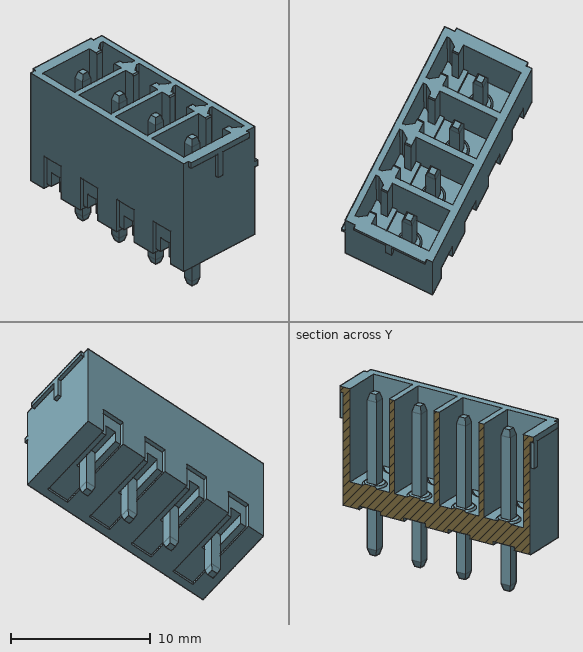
import cadquery as cq


total_length = 16.54
total_depth = 7.3
total_height = 12.8

body_length = 16.0
body_depth = 7.0
body_height = 9.3
wall = 0.6

pin_count = 4
pitch = 3.8
pin_width = 0.8
pin_y = 3.0
pin_tip_width = 0.5
pin_tip_length = 0.53
pin_recess = 0.15
pin_top_z = body_height - pin_recess
pin_bottom_z = body_height - total_height
pin_positions = [(i - (pin_count - 1) / 2) * pitch for i in range(pin_count)]

pocket_width = 3.32
pocket_back_y = 6.5
floor_z = 2.0
back_ledge_y = 4.8
back_ledge_height = 0.5
back_wall_draft = 0.058

lug_front_y = 5.18
lug_back_y = 5.7
lug_gap = 1.72
lug_chamfer = 0.1
dovetail_neck_width = 2.55
dovetail_side_y = 6.25

collar_diameter = 1.8
collar_height = 0.15
collar_taper = 45
bump_radius = 1.3
bump_size = 0.31

key_front_y = 0.48
key_back_y = 6.19
key_bar_height = 0.48
key_stem_y = 3.37
key_stem_width = 0.48
key_height = 2.5
rail_thickness = total_depth - body_depth
rail_height = 0.48
rail_drop = 3.01
rail_top_z = body_height - rail_drop

notch_width = 1.8
notch_height = 2.8
notch_depth = 0.3
slot_width = 0.88
slot_height = 1.45
slot_back_y = 3.64
channel_height = 0.26


def centred_block(width, y_range, z_range):
    """Box between limits on Y and Z, symmetric about X = 0."""
    (y0, y1), (z0, z1) = y_range, z_range
    box = cq.Workplane("XY").box(width, y1 - y0, z1 - z0, centered=(True, False, False))
    return box.translate((0, y0, z0))


def make_body():
    """Solid housing with the back rail and the T-shaped end keys."""
    body = centred_block(body_length, (0, body_depth), (0, body_height))
    rail = centred_block(
        body_length, (body_depth, body_depth + rail_thickness), (rail_top_z - rail_height, rail_top_z)
    )
    key_bar = centred_block(
        total_length, (key_front_y, key_back_y), (body_height - key_bar_height, body_height)
    )
    key_stem = centred_block(
        total_length,
        (key_stem_y - key_stem_width / 2, key_stem_y + key_stem_width / 2),
        (body_height - key_height, body_height),
    )
    return body.union(rail).union(key_bar).union(key_stem)


def make_lug_chamfers():
    """Flared cut that bevels the top edges of the two lugs facing each other."""
    half_gap = lug_gap / 2
    profile = [
        (-half_gap - lug_chamfer, body_height),
        (half_gap + lug_chamfer, body_height),
        (half_gap, body_height - lug_chamfer),
        (-half_gap, body_height - lug_chamfer),
    ]
    cut = cq.Workplane("XZ").polyline(profile).close().extrude(lug_front_y - lug_back_y)
    return cut.translate((0, lug_front_y, 0))


def make_bump():
    """Rounded bump against the front wall, with a 45 degree slope from the wall to the floor."""
    disc = (
        cq.Workplane("XY", origin=(0, wall + bump_size - bump_radius, floor_z))
        .circle(bump_radius)
        .extrude(bump_size)
    )
    slope = (
        cq.Workplane("YZ")
        .polyline([
            (wall, floor_z),
            (wall + bump_size, floor_z),
            (wall, floor_z + bump_size),
        ])
        .close()
        .extrude(bump_radius, both=True)
    )
    return disc.intersect(slope)


def make_pocket():
    """Dovetailed cavity of one way, less the features that stand up inside it."""
    half = pocket_width / 2
    half_gap = lug_gap / 2
    half_neck = dovetail_neck_width / 2
    right_side = [
        (half, wall),
        (half, lug_front_y),
        (half_gap, lug_front_y),
        (half_gap, lug_back_y),
        (half_neck, lug_back_y),
        (half, dovetail_side_y),
        (half, pocket_back_y),
    ]
    left_side = [(-x, y) for x, y in reversed(right_side)]
    pocket = (
        cq.Workplane("XY", origin=(0, 0, floor_z))
        .polyline(right_side + left_side)
        .close()
        .extrude(body_height - floor_z)
    )
    ledge = centred_block(
        pocket_width, (back_ledge_y, pocket_back_y), (floor_z, floor_z + back_ledge_height)
    )
    back_draft = (
        cq.Workplane("YZ")
        .polyline([
            (pocket_back_y, floor_z),
            (pocket_back_y - back_wall_draft, floor_z),
            (pocket_back_y, body_height),
        ])
        .close()
        .extrude(half, both=True)
    )
    collar = (
        cq.Workplane("XY", origin=(0, pin_y, floor_z))
        .circle(collar_diameter / 2)
        .extrude(collar_height, taper=collar_taper)
    )
    pocket = pocket.union(make_lug_chamfers())
    return pocket.cut(ledge).cut(back_draft).cut(collar).cut(make_bump())


def make_solder_opening():
    """Front notch, the narrower slot behind it around the pin, and a shallow channel underneath."""
    notch = centred_block(notch_width, (0, notch_depth), (0, notch_height))
    slot = centred_block(slot_width, (0, slot_back_y), (0, slot_height))
    channel = centred_block(notch_width, (0, body_depth - wall), (0, channel_height))
    return notch.union(slot).union(channel)


def make_tip(z, direction):
    """Tapered square pin end that starts at height z and points along direction (+1 or -1)."""
    return (
        cq.Workplane("XY", origin=(0, pin_y, z))
        .rect(pin_width, pin_width)
        .workplane(offset=direction * pin_tip_length)
        .rect(pin_tip_width, pin_tip_width)
        .loft()
    )


def make_pin():
    """Square pin with a tapered tip at each end."""
    shank_bottom = pin_bottom_z + pin_tip_length
    shank_top = pin_top_z - pin_tip_length
    shank = centred_block(
        pin_width, (pin_y - pin_width / 2, pin_y + pin_width / 2), (shank_bottom, shank_top)
    )
    return shank.union(make_tip(shank_top, 1)).union(make_tip(shank_bottom, -1))


cell_cut = make_pocket().union(make_solder_opening())
pin = make_pin()

result = make_body()
for x in pin_positions:
    result = result.cut(cell_cut.translate((x, 0, 0)))
for x in pin_positions:
    result = result.union(pin.translate((x, 0, 0)))